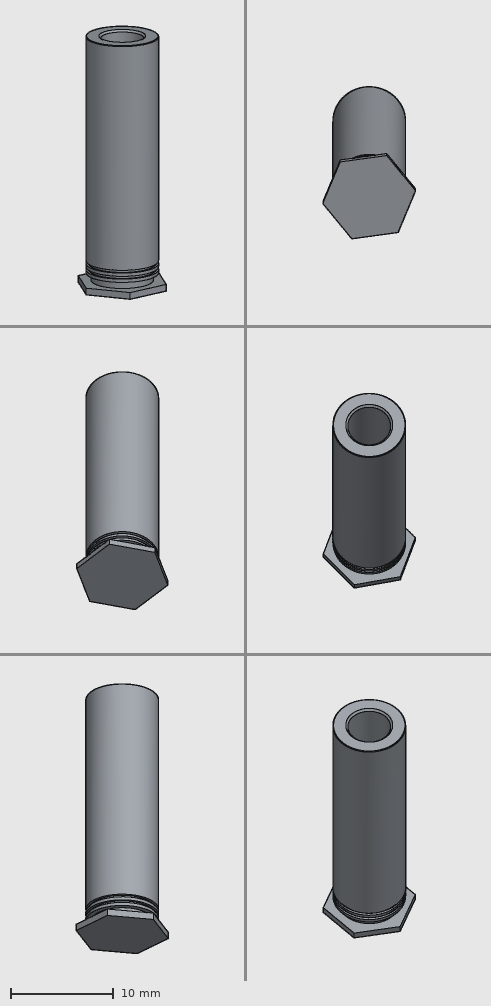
import cadquery as cq
import math

total_height = 25.4
head_across_corners = 9.15
head_thickness = 0.69

barrel_diameter = 7.1
neck_diameter = 6.1
groove_diameter = 6.6
neck_top = 1.45
ring_height = 0.33
groove_height = 0.28
ring_count = 2
rim_chamfer = 0.08

bore_diameter = 4.17
bore_mouth_diameter = 4.57
drill_point_angle = 120.0
drill_tip_z = head_thickness


def cylinder(diameter, bottom, top):
    """Cylinder on the Z axis between two heights."""
    return cq.Workplane("XY").workplane(offset=bottom).circle(diameter / 2).extrude(top - bottom)


def make_shank():
    """Stepped round shank with rings and grooves below the barrel."""
    shank = cylinder(neck_diameter, 0, neck_top)
    level = neck_top
    for _ in range(ring_count):
        ring_top = level + ring_height
        groove_top = ring_top + groove_height
        shank = shank.union(cylinder(barrel_diameter, level, ring_top))
        shank = shank.union(cylinder(groove_diameter, ring_top, groove_top))
        level = groove_top
    barrel = cylinder(barrel_diameter, level, total_height).faces(">Z").chamfer(rim_chamfer)
    return shank.union(barrel)


def make_bore():
    """Bore with a conical drill point and a 45 degree countersunk mouth."""
    bore_radius = bore_diameter / 2
    mouth_radius = bore_mouth_diameter / 2
    countersink_depth = mouth_radius - bore_radius
    point_height = bore_radius / math.tan(math.radians(drill_point_angle / 2))
    return (
        cq.Workplane("XZ")
        .moveTo(0, drill_tip_z)
        .lineTo(bore_radius, drill_tip_z + point_height)
        .lineTo(bore_radius, total_height - countersink_depth)
        .lineTo(mouth_radius, total_height)
        .lineTo(0, total_height)
        .close()
        .revolve(360, (0, 0, 0), (0, 1, 0))
    )


head = cq.Workplane("XY").polygon(6, head_across_corners).extrude(head_thickness)
result = head.union(make_shank()).cut(make_bore())